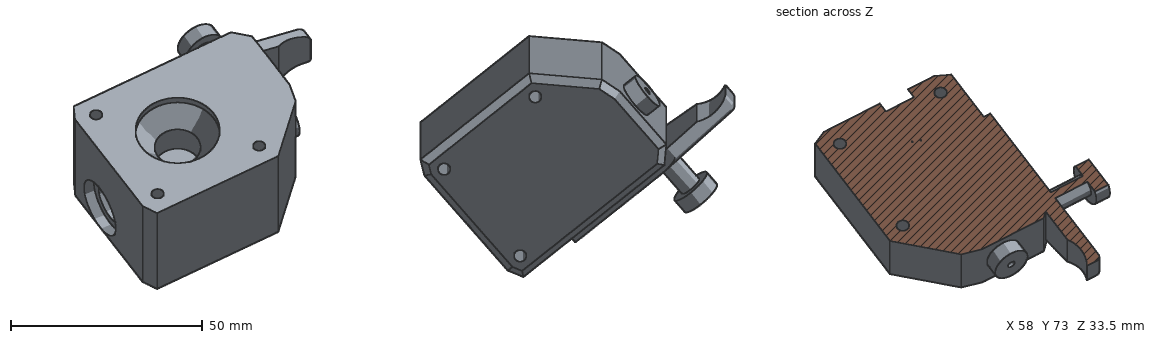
import cadquery as cq

block_width = 42.0
block_length = 54.0
block_height = 33.5
base_chamfer = 2.0
corner_run = 4.0
inlet_corner_rise = 2.0
outlet_corner_rise = 4.0
bevel_start_y = 39.0
bevel_size = 13.5
blunt_start_x = 23.0

motor_center = block_width / 2
screw_pitch = 31.0
screw_diameter = 3.2
recess_diameter = 22.0
recess_depth = 2.0
shaft_hole_diameter = 12.0
cone_depth = (recess_diameter - shaft_hole_diameter) / 2
shaft_hole_depth = 15.0

filament_x = 16.5
filament_z = 10.0
filament_diameter = 2.0
inlet_counterbore_diameter = 16.0
inlet_counterbore_depth = 3.0
inlet_bore_diameter = 11.2
inlet_bore_end = 9.0
outlet_tube_diameter = 10.0
outlet_tube_length = 4.0

lever_outer_x = -2.0
lever_thickness = 4.5
lever_start_y = 18.0
lever_taper_y = 53.0
lever_tip_y = 73.0
lever_center_z = 14.4
lever_height = 20.0
lever_tip_height = 10.0
lever_tip_radius = 2.0
lever_rim_radius = 1.5
grip_radius = 9.5
grip_depth = 1.3
grip_center_y = 67.9

screw_y = 49.0
screw_z = 14.0
shank_diameter = 6.0
shank_length = 9.8
knob_diameter = 11.2
knob_length = 4.2


def cylinder_along_x(diameter, x_start, length, y, z):
    return cq.Workplane("YZ", origin=(x_start, y, z)).circle(diameter / 2).extrude(length)


def cylinder_along_y(diameter, y_start, length):
    """Cylinder on the filament axis, growing towards +Y."""
    start = (filament_x, y_start, filament_z)
    return cq.Workplane("XZ", origin=start).circle(diameter / 2).extrude(-length)


def make_block():
    outline = [
        (0, inlet_corner_rise),
        (corner_run, 0),
        (block_width - corner_run, 0),
        (block_width, inlet_corner_rise),
        (block_width, bevel_start_y),
        (block_width - bevel_size, bevel_start_y + bevel_size),
        (blunt_start_x, block_length),
        (corner_run, block_length),
        (0, block_length - outlet_corner_rise),
    ]
    block = cq.Workplane("XY").polyline(outline).close().extrude(block_height)
    return block.faces("<Z").edges().chamfer(base_chamfer)


def make_motor_recess():
    """Revolved cutter: shallow cylinder, 45 degree cone, blind shaft hole."""
    recess_radius = recess_diameter / 2
    shaft_radius = shaft_hole_diameter / 2
    cone_top_z = block_height - recess_depth
    profile = [
        (0, block_height),
        (recess_radius, block_height),
        (recess_radius, cone_top_z),
        (shaft_radius, cone_top_z - cone_depth),
        (shaft_radius, block_height - shaft_hole_depth),
        (0, block_height - shaft_hole_depth),
    ]
    cutter = cq.Workplane("XZ").polyline(profile).close().revolve(360, (0, 0), (0, 1))
    return cutter.translate((motor_center, motor_center, 0))


def make_screw_holes():
    """Three through holes; the lever corner of the pattern has none."""
    low = motor_center - screw_pitch / 2
    high = motor_center + screw_pitch / 2
    centers = [(low, low), (high, low), (high, high)]
    return cq.Workplane("XY").pushPoints(centers).circle(screw_diameter / 2).extrude(block_height)


def make_filament_path():
    path_length = block_length + outlet_tube_length
    path = cylinder_along_y(filament_diameter, 0, path_length)
    path = path.union(cylinder_along_y(inlet_bore_diameter, 0, inlet_bore_end))
    return path.union(cylinder_along_y(inlet_counterbore_diameter, 0, inlet_counterbore_depth))


def make_lever():
    lever_length = lever_tip_y - lever_start_y
    slope = (lever_height - lever_tip_height) / 2 / (lever_tip_y - lever_taper_y)
    tip_half = lever_tip_height / 2
    root_half = tip_half + slope * lever_length

    wedge_outline = [
        (lever_start_y, -root_half),
        (lever_tip_y, -tip_half),
        (lever_tip_y, tip_half),
        (lever_start_y, root_half),
    ]
    wedge = cq.Workplane("YZ").polyline(wedge_outline).close().extrude(lever_thickness)
    wedge = wedge.faces(">Y").edges("|X").fillet(lever_tip_radius)
    wedge = wedge.faces("<X").edges("not <Y").fillet(lever_rim_radius)

    bar = cq.Workplane("XY").box(lever_thickness, lever_length, lever_height, centered=(False, False, True))
    lever = wedge.intersect(bar.translate((0, lever_start_y, 0)))

    grip_x = lever_thickness - grip_depth + grip_radius
    grip = cq.Workplane("XY").center(grip_x, grip_center_y).circle(grip_radius)
    lever = lever.cut(grip.extrude(lever_height, both=True))
    return lever.translate((lever_outer_x, 0, lever_center_z))


def make_tension_screw():
    """Shank and knob, with the shank rooted in the lever."""
    shank_end_x = lever_outer_x - shank_length
    shank_span = shank_length + lever_thickness / 2
    shank = cylinder_along_x(shank_diameter, shank_end_x, shank_span, screw_y, screw_z)
    knob = cylinder_along_x(knob_diameter, shank_end_x - knob_length, knob_length, screw_y, screw_z)
    return shank.union(knob)


outlet_tube = cylinder_along_y(outlet_tube_diameter, block_length, outlet_tube_length)

body = make_block().union(outlet_tube)
body = body.cut(make_motor_recess()).cut(make_screw_holes()).cut(make_filament_path())
result = body.union(make_lever()).union(make_tension_screw())